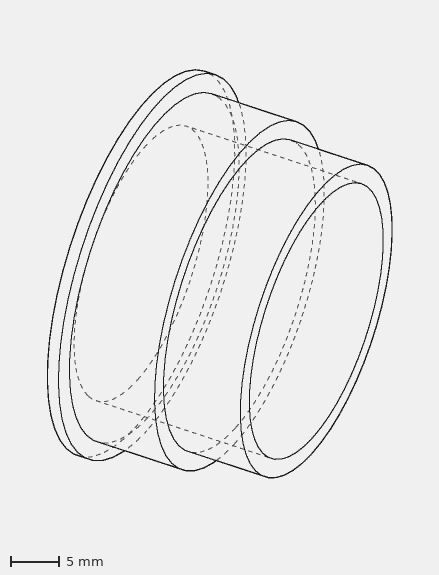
import cadquery as cq

flange_diameter = 42.0
body_diameter = 38.0
spigot_diameter = 34.0
bore_diameter = 30.0

total_length = 20.5
spigot_length = 9.0
flange_thickness = 1.55
taper_depth = 0.24

flange_radius = flange_diameter / 2
body_radius = body_diameter / 2
spigot_radius = spigot_diameter / 2
bore_radius = bore_diameter / 2
rim_width = flange_thickness - taper_depth
body_end = total_length - spigot_length

half_section = (
    cq.Workplane("XZ")
    .moveTo(0, bore_radius)
    .lineTo(0, flange_radius)
    .lineTo(rim_width, flange_radius)
    .lineTo(flange_thickness, body_radius)
    .lineTo(body_end, body_radius)
    .lineTo(body_end, spigot_radius)
    .lineTo(total_length, spigot_radius)
    .lineTo(total_length, bore_radius)
    .close()
)

result = half_section.revolve(360, (0, 0, 0), (1, 0, 0))